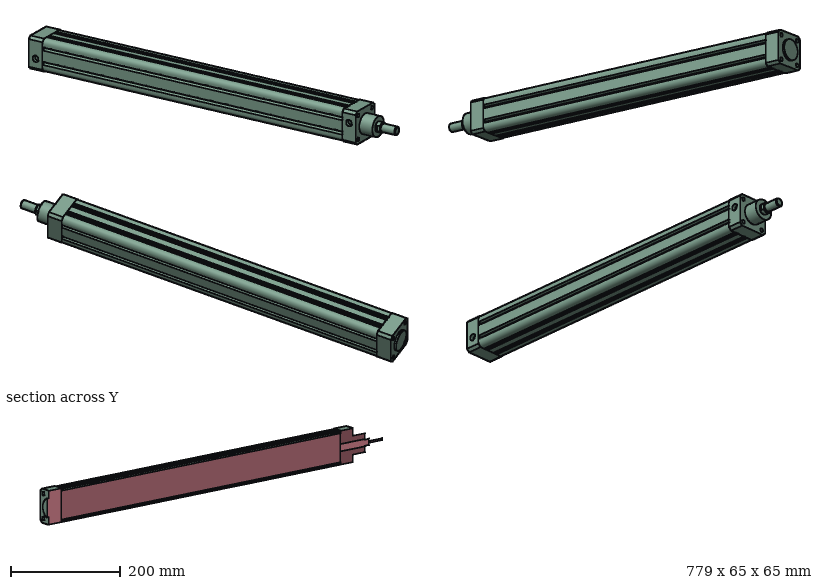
import cadquery as cq


REAR_CAP_START = 4.0
REAR_CAP_LENGTH = 29.5
BARREL_LENGTH = 647.0
FRONT_CAP_LENGTH = 29.0
FRONT_BOSS_LENGTH = 28.0
ROD_SHOULDER = 747.0
ROD_END = 779.0

BARREL_START = REAR_CAP_START + REAR_CAP_LENGTH
FRONT_CAP_START = BARREL_START + BARREL_LENGTH
FRONT_CAP_END = FRONT_CAP_START + FRONT_CAP_LENGTH

SIDE = 65.0
CAP_ROUND_DIAMETER = 84.0
BOSS_DIAMETER = 40.0
SCREW_SPACING = 47.0
SCREW_HOLE_DIAMETER = 7.0
SCREW_HOLE_DEPTH = 15.5
PORT_DIAMETER = 12.5
PORT_DEPTH = 8.0
PORT_OFFSET = 8.5

BARREL_CORNER_RADIUS = 10.0
SENSOR_GROOVE_OFFSET = 14.0
SENSOR_GROOVE_WIDTH = 6.0
SENSOR_GROOVE_FLOOR = 2.0
SENSOR_GROOVE_DEPTH = 8.0
T_SLOT_OFFSET = 12.0
T_SLOT_OPENING = 5.5
T_SLOT_DEPTH = 5.0
T_SLOT_LIP_THICKNESS = 1.5
T_SLOT_CHANNEL_WIDTH = 9.0

ROD_DIAMETER = 20.0
THREAD_DIAMETER = 16.0
SHOULDER_CHAMFER = 1.5
TIP_CHAMFER = 1.5
FLATS_START = 741.0
FLATS_WIDTH = 17.0


def square_bar(start, length):
    return cq.Workplane("YZ", origin=(start, 0, 0)).rect(SIDE, SIDE).extrude(length)


def axial_cylinder(start, length, diameter):
    return cq.Workplane("YZ", origin=(start, 0, 0)).circle(diameter / 2).extrude(length)


def cap_block(start, length):
    """Square block with its four long corners turned round about the axis."""
    return square_bar(start, length).intersect(axial_cylinder(start, length, CAP_ROUND_DIAMETER))


def screw_holes(start):
    """Four plugs in a square, running from start towards +X."""
    return (
        cq.Workplane("YZ", origin=(start, 0, 0))
        .rect(SCREW_SPACING, SCREW_SPACING, forConstruction=True)
        .vertices()
        .circle(SCREW_HOLE_DIAMETER / 2)
        .extrude(SCREW_HOLE_DEPTH)
    )


def port(x, z):
    """Air port plug, sunk from the -Y side."""
    return cq.Workplane("XZ", origin=(x, -SIDE / 2, z)).circle(PORT_DIAMETER / 2).extrude(-PORT_DEPTH)


def make_rear_cap():
    block = cap_block(REAR_CAP_START, REAR_CAP_LENGTH)
    boss = axial_cylinder(0, REAR_CAP_START, BOSS_DIAMETER)
    port_x = REAR_CAP_START + REAR_CAP_LENGTH / 2
    return block.union(boss).cut(screw_holes(REAR_CAP_START)).cut(port(port_x, -PORT_OFFSET))


def make_front_cap():
    block = cap_block(FRONT_CAP_START, FRONT_CAP_LENGTH)
    boss = axial_cylinder(FRONT_CAP_END, FRONT_BOSS_LENGTH, BOSS_DIAMETER)
    bore = axial_cylinder(FRONT_CAP_START, FRONT_CAP_LENGTH + FRONT_BOSS_LENGTH, ROD_DIAMETER)
    screws = screw_holes(FRONT_CAP_END - SCREW_HOLE_DEPTH)
    port_x = FRONT_CAP_START + FRONT_CAP_LENGTH / 2
    return block.union(boss).cut(bore).cut(screws).cut(port(port_x, PORT_OFFSET))


def sensor_groove(offset):
    """Tapered groove in the +Z side of the barrel, running its whole length."""
    top = SIDE / 2
    floor = top - SENSOR_GROOVE_DEPTH
    return (
        cq.Workplane("YZ", origin=(BARREL_START, 0, 0))
        .moveTo(offset - SENSOR_GROOVE_WIDTH / 2, top)
        .lineTo(offset - SENSOR_GROOVE_FLOOR / 2, floor)
        .lineTo(offset + SENSOR_GROOVE_FLOOR / 2, floor)
        .lineTo(offset + SENSOR_GROOVE_WIDTH / 2, top)
        .close()
        .extrude(BARREL_LENGTH)
    )


def slot_layer(offset, width, upper_depth, lower_depth):
    """Rectangular slot between two depths below the +Z side of the barrel."""
    middle = SIDE / 2 - (upper_depth + lower_depth) / 2
    return (
        cq.Workplane("YZ", origin=(BARREL_START, 0, 0))
        .center(offset, middle)
        .rect(width, lower_depth - upper_depth)
        .extrude(BARREL_LENGTH)
    )


def t_slot(offset):
    """Slot whose channel widens below a thin lip."""
    opening = slot_layer(offset, T_SLOT_OPENING, 0, T_SLOT_LIP_THICKNESS)
    channel = slot_layer(offset, T_SLOT_CHANNEL_WIDTH, T_SLOT_LIP_THICKNESS, T_SLOT_DEPTH)
    return opening.union(channel)


def make_barrel():
    """T-slots run along the +Z and -Z sides, sensor grooves along +Y and -Y."""
    barrel = square_bar(BARREL_START, BARREL_LENGTH).edges("|X").fillet(BARREL_CORNER_RADIUS)
    for side in (-1, 1):
        slot = t_slot(side * T_SLOT_OFFSET)
        groove = sensor_groove(side * SENSOR_GROOVE_OFFSET)
        for half_turn in (0, 180):
            barrel = barrel.cut(slot.rotate((0, 0, 0), (1, 0, 0), half_turn))
            barrel = barrel.cut(groove.rotate((0, 0, 0), (1, 0, 0), half_turn + 90))
    return barrel


def make_rod():
    shank = axial_cylinder(FRONT_CAP_START, ROD_SHOULDER - FRONT_CAP_START, ROD_DIAMETER)
    for side in (-1, 1):
        flat_cut = (
            cq.Workplane("XY")
            .box(ROD_SHOULDER - FLATS_START, ROD_DIAMETER, ROD_DIAMETER, centered=(False, True, True))
            .translate((FLATS_START, side * (FLATS_WIDTH + ROD_DIAMETER) / 2, 0))
        )
        shank = shank.cut(flat_cut)
    thread = axial_cylinder(ROD_SHOULDER, ROD_END - ROD_SHOULDER, THREAD_DIAMETER)
    thread = thread.faces(">X").chamfer(TIP_CHAMFER).faces("<X").chamfer(SHOULDER_CHAMFER)
    return shank.union(thread)


rear_cap = make_rear_cap()
barrel = make_barrel()
front_cap = make_front_cap()
rod = make_rod()

result = cq.Compound.makeCompound([rear_cap.val(), barrel.val(), front_cap.val(), rod.val()])